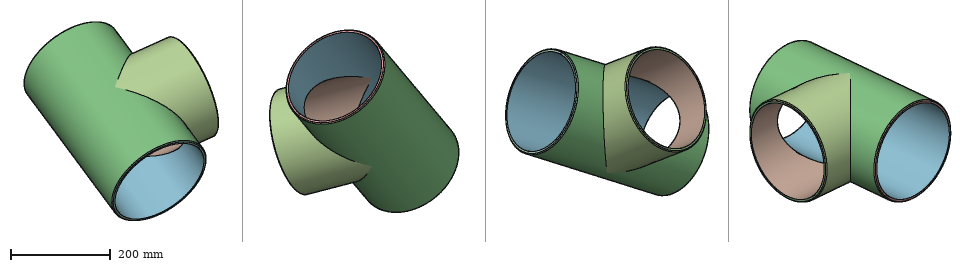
import cadquery as cq

run_length = 355.5
outer_diameter = 219.0
wall = 6.5
bevel = 2.0

arm_length = run_length / 2
outer_radius = outer_diameter / 2
bore_radius = outer_radius - wall

arm_directions = [(1, 0, 0), (-1, 0, 0), (0, 1, 0)]


def cylinder_along(direction, radius):
    """Cylinder from the tee centre to the end of one arm."""
    plane = cq.Plane(origin=(0, 0, 0), xDir=(0, 0, 1), normal=direction)
    return cq.Workplane(plane).circle(radius).extrude(arm_length)


def beveled_arm(direction):
    """Solid arm with its outer rim beveled at the open end."""
    arm = cylinder_along(direction, outer_radius)
    return arm.faces(cq.selectors.DirectionMinMaxSelector(cq.Vector(*direction))).chamfer(bevel)


def join(bodies):
    """Fuse a list of bodies into one."""
    joined = bodies[0]
    for body in bodies[1:]:
        joined = joined.union(body)
    return joined


outside = join([beveled_arm(direction) for direction in arm_directions])
bores = join([cylinder_along(direction, bore_radius) for direction in arm_directions])

result = outside.cut(bores)